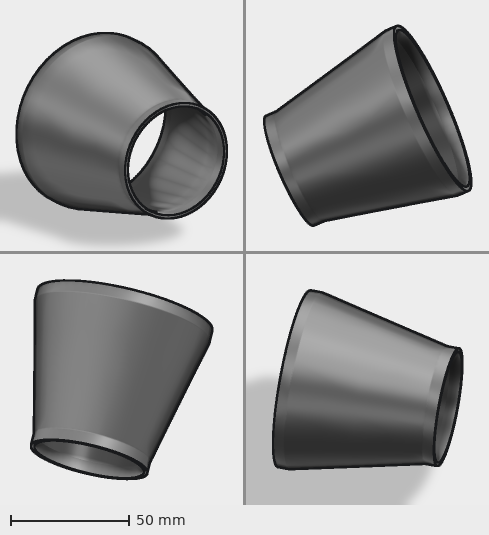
import cadquery as cq

length = 67.0
large_outer_diameter = 76.3
large_bore_diameter = 72.3
small_outer_diameter = 50.8
small_bore_diameter = 47.8

collar_length = 5.0
cone_end = length - collar_length

blend_length = 0.5


def revolve_about_x(profile):
    """Turn a closed half profile into a full solid of revolution about X."""
    return profile.revolve(360, (0, 0, 0), (1, 0, 0))


def outer_body():
    """Solid of two straight collars joined by a cone with rounded blends."""
    large_radius = large_outer_diameter / 2
    small_radius = small_outer_diameter / 2
    half_blend = blend_length / 2
    cone_slope = (small_radius - large_radius) / (cone_end - collar_length)
    blend_drop = -cone_slope * half_blend
    profile = (
        cq.Workplane("XY")
        .lineTo(0, large_radius)
        .lineTo(collar_length - half_blend, large_radius)
        .tangentArcPoint((collar_length + half_blend, large_radius - blend_drop), relative=False)
        .lineTo(cone_end - half_blend, small_radius + blend_drop)
        .tangentArcPoint((cone_end + half_blend, small_radius), relative=False)
        .lineTo(length, small_radius)
        .lineTo(length, 0)
        .close()
    )
    return revolve_about_x(profile)


def bore():
    """Through bore: straight in both collars and conical between them."""
    large_radius = large_bore_diameter / 2
    small_radius = small_bore_diameter / 2
    profile = (
        cq.Workplane("XY")
        .lineTo(0, large_radius)
        .lineTo(collar_length, large_radius)
        .lineTo(cone_end, small_radius)
        .lineTo(length, small_radius)
        .lineTo(length, 0)
        .close()
    )
    return revolve_about_x(profile)


result = outer_body().cut(bore())